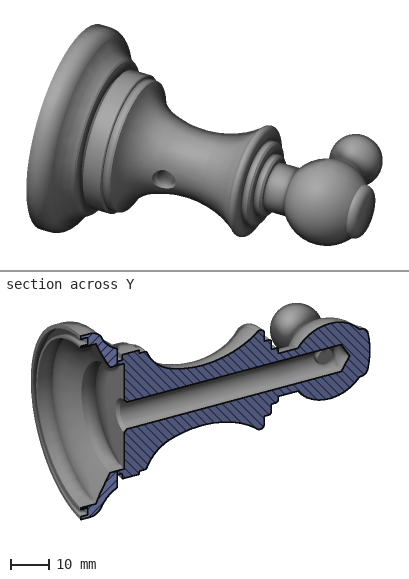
import cadquery as cq
import math

FLANGE_LENGTH = 10.95
FLANGE_DIAMETER = 55.9
FLANGE_RADIUS = FLANGE_DIAMETER / 2
FLANGE_RIM_LENGTH = 2.65
FLANGE_SHOULDER_X = 6.1
FLANGE_SHOULDER_RADIUS = 26.0
FLANGE_SHOULDER_SAG = 0.5
FLANGE_NECK_X = 10.5
FLANGE_NECK_RADIUS = 21.3
FLANGE_COVE_SAG = 0.6
FLANGE_EDGE_CHAMFER = FLANGE_LENGTH - FLANGE_NECK_X
CAVITY_RADIUS = 24.2
CAVITY_DEPTH = 4.45
CAVITY_TAPER_END = 8.65
CAVITY_TAPER_SAG = 0.2
BORE_RADIUS = 15.9
SEAL_GROOVE_INNER_RADIUS = 24.9
SEAL_GROOVE_OUTER_RADIUS = 26.9
SEAL_GROOVE_DEPTH = 2.0

POST_FLOOR_X = 12.8
SPIGOT_RADIUS = 17.3
COLLAR_START = 12.15
COLLAR_END = 17.4
COLLAR_RADIUS = 18.9
COLLAR_CHAMFER = 0.25
BAND_END = 19.5
BAND_RADIUS = 18.0
BAND_CHAMFER = 0.5
BAND_CHAMFER_DROP = 0.2
WAIST_START_X = 27.7
WAIST_START_RADIUS = 10.45
WAIST_END_X = 42.2
WAIST_END_RADIUS = 9.9
WAIST_X = 35.95
WAIST_RADIUS = 9.2
COVE_SAG = 1.4
FLARE_SAG = 0.6
BEAD_START = 52.0
BEAD_END = 54.35
BEAD_OUTER_RADIUS = 15.15
BEAD_ROUND = 1.3
LARGE_STEP_RADIUS = 11.5
LARGE_STEP_END = 56.4
SMALL_STEP_RADIUS = 8.4
SMALL_STEP_END = 58.5
STEP_CHAMFER = 0.5
NECK_RADIUS = 6.6
BALL_X = 73.6
BALL_RADIUS = 11.5
CAP_RADIUS = 7.3
CAP_ROUND = 2.3
CAP_DOME_RADIUS = 25.7
CAP_END = 85.6

KNOB_SEAT_Y = 10.2
KNOB_COLLAR_RADIUS = 5.8
KNOB_COLLAR_END = 10.95
KNOB_NECK_START_RADIUS = 5.6
KNOB_NECK_RADIUS = 4.45
KNOB_NECK_Y = 12.3
KNOB_BALL_Y = 18.4
KNOB_BALL_RADIUS = 7.0
KNOB_BALL_START = 13.0
KNOB_BALL_END = 22.6
KNOB_END = 23.9
STUD_RADIUS = 2.2
STUD_TIP_Y = 2.6
STUD_HOLE_RADIUS = 2.6

SCREW_HOLE_RADIUS = 4.0
SCREW_HOLE_MOUTH_RADIUS = 4.9
SCREW_HOLE_END = 77.0
DRILL_POINT_ANGLE = 118.0
GRUB_HOLE_X = 31.25
GRUB_HOLE_RADIUS = 2.6
GRUB_HOLE_MOUTH_RADIUS = 3.2


def arc_middle(start, end, sag):
    """Point on an arc between two points, bulging by sag to the left of the way from start to end."""
    along_x = end[0] - start[0]
    along_y = end[1] - start[1]
    chord = math.hypot(along_x, along_y)
    middle_x = (start[0] + end[0]) / 2 - sag * along_y / chord
    middle_y = (start[1] + end[1]) / 2 + sag * along_x / chord
    return (middle_x, middle_y)


def circle_offset(radius, distance):
    """Half chord of a circle at a distance from its centre."""
    return math.sqrt(radius**2 - distance**2)


def turn_about_x(profile):
    """Revolve a closed profile about the main axis of the part."""
    return profile.close().revolve(360, (0, 0, 0), (1, 0, 0))


def turn_about_knob_axis(profile):
    """Revolve a closed profile about its local Y axis, which is the axis of the knob."""
    return profile.close().revolve(360, (0, 0, 0), (0, 1, 0))


def make_flange():
    shoulder_middle = arc_middle(
        (FLANGE_RIM_LENGTH, FLANGE_RADIUS), (FLANGE_SHOULDER_X, FLANGE_SHOULDER_RADIUS), FLANGE_SHOULDER_SAG
    )
    cove_start = (FLANGE_SHOULDER_X, FLANGE_SHOULDER_RADIUS)
    cove_end = (FLANGE_NECK_X, FLANGE_NECK_RADIUS)
    taper_start = (CAVITY_TAPER_END, BORE_RADIUS)
    taper_end = (CAVITY_DEPTH, CAVITY_RADIUS)
    body = turn_about_x(
        cq.Workplane("XZ")
        .moveTo(0, CAVITY_RADIUS)
        .lineTo(0, FLANGE_RADIUS)
        .lineTo(FLANGE_RIM_LENGTH, FLANGE_RADIUS)
        .threePointArc(shoulder_middle, cove_start)
        .threePointArc(arc_middle(cove_start, cove_end, -FLANGE_COVE_SAG), cove_end)
        .lineTo(FLANGE_LENGTH, FLANGE_NECK_RADIUS - FLANGE_EDGE_CHAMFER)
        .lineTo(FLANGE_LENGTH, BORE_RADIUS)
        .lineTo(*taper_start)
        .threePointArc(arc_middle(taper_start, taper_end, CAVITY_TAPER_SAG), taper_end)
    )
    groove = (
        cq.Workplane("YZ")
        .circle(SEAL_GROOVE_OUTER_RADIUS)
        .circle(SEAL_GROOVE_INNER_RADIUS)
        .extrude(SEAL_GROOVE_DEPTH)
    )
    return body.cut(groove)


def turn_post():
    cove_start = (BAND_END, BAND_RADIUS - BAND_CHAMFER_DROP)
    cove_end = (WAIST_START_X, WAIST_START_RADIUS)
    flare_start = (WAIST_END_X, WAIST_END_RADIUS)
    bead_x = BEAD_END - BEAD_ROUND
    bead_centre_radius = BEAD_OUTER_RADIUS - BEAD_ROUND
    flare_end = (BEAD_START, bead_centre_radius + circle_offset(BEAD_ROUND, bead_x - BEAD_START))
    ball_start = (BALL_X - circle_offset(BALL_RADIUS, NECK_RADIUS), NECK_RADIUS)
    ball_end = (BALL_X + circle_offset(BALL_RADIUS, CAP_RADIUS), CAP_RADIUS)
    cap_dome_x = CAP_END - CAP_DOME_RADIUS
    cap_round_radius = CAP_RADIUS - CAP_ROUND
    cap_round_x = cap_dome_x + circle_offset(CAP_DOME_RADIUS - CAP_ROUND, cap_round_radius)
    dome_scale = CAP_DOME_RADIUS / (CAP_DOME_RADIUS - CAP_ROUND)
    dome_edge = (cap_dome_x + dome_scale * (cap_round_x - cap_dome_x), dome_scale * cap_round_radius)
    return turn_about_x(
        cq.Workplane("XZ")
        .moveTo(POST_FLOOR_X, 0)
        .lineTo(POST_FLOOR_X, BORE_RADIUS)
        .lineTo(FLANGE_LENGTH, BORE_RADIUS)
        .lineTo(FLANGE_LENGTH, SPIGOT_RADIUS)
        .lineTo(COLLAR_START, SPIGOT_RADIUS)
        .lineTo(COLLAR_START, COLLAR_RADIUS)
        .lineTo(COLLAR_END - COLLAR_CHAMFER, COLLAR_RADIUS)
        .lineTo(COLLAR_END, COLLAR_RADIUS - COLLAR_CHAMFER)
        .lineTo(COLLAR_END, BAND_RADIUS)
        .lineTo(BAND_END - BAND_CHAMFER, BAND_RADIUS)
        .lineTo(*cove_start)
        .threePointArc(arc_middle(cove_start, cove_end, -COVE_SAG), cove_end)
        .threePointArc((WAIST_X, WAIST_RADIUS), flare_start)
        .threePointArc(arc_middle(flare_start, flare_end, -FLARE_SAG), flare_end)
        .threePointArc((bead_x, BEAD_OUTER_RADIUS), (BEAD_END, bead_centre_radius))
        .lineTo(BEAD_END, LARGE_STEP_RADIUS)
        .lineTo(LARGE_STEP_END - STEP_CHAMFER, LARGE_STEP_RADIUS)
        .lineTo(LARGE_STEP_END, LARGE_STEP_RADIUS - STEP_CHAMFER)
        .lineTo(LARGE_STEP_END, SMALL_STEP_RADIUS)
        .lineTo(SMALL_STEP_END - STEP_CHAMFER, SMALL_STEP_RADIUS)
        .lineTo(SMALL_STEP_END, SMALL_STEP_RADIUS - STEP_CHAMFER)
        .lineTo(SMALL_STEP_END, NECK_RADIUS)
        .lineTo(*ball_start)
        .threePointArc((BALL_X, BALL_RADIUS), ball_end)
        .lineTo(cap_round_x, CAP_RADIUS)
        .tangentArcPoint(dome_edge, relative=False)
        .tangentArcPoint((CAP_END, 0), relative=False)
    )


def make_screw_hole():
    """Blind drilled hole along X with a countersunk mouth at the floor of the post."""
    mouth_depth = SCREW_HOLE_MOUTH_RADIUS - SCREW_HOLE_RADIUS
    point_length = SCREW_HOLE_RADIUS / math.tan(math.radians(DRILL_POINT_ANGLE / 2))
    return turn_about_x(
        cq.Workplane("XY")
        .moveTo(POST_FLOOR_X, 0)
        .lineTo(POST_FLOOR_X, SCREW_HOLE_MOUTH_RADIUS)
        .lineTo(POST_FLOOR_X + mouth_depth, SCREW_HOLE_RADIUS)
        .lineTo(SCREW_HOLE_END, SCREW_HOLE_RADIUS)
        .lineTo(SCREW_HOLE_END + point_length, 0)
    )


def make_grub_hole():
    """Hole from the -Y side of the waist into the screw hole, with a countersunk mouth."""
    mouth_depth = GRUB_HOLE_MOUTH_RADIUS - GRUB_HOLE_RADIUS
    mouth_y = -WAIST_RADIUS
    return (
        cq.Workplane("XY")
        .moveTo(GRUB_HOLE_X, 0)
        .lineTo(GRUB_HOLE_X + GRUB_HOLE_RADIUS, 0)
        .lineTo(GRUB_HOLE_X + GRUB_HOLE_RADIUS, mouth_y + mouth_depth)
        .lineTo(GRUB_HOLE_X + GRUB_HOLE_MOUTH_RADIUS, mouth_y)
        .lineTo(GRUB_HOLE_X + GRUB_HOLE_MOUTH_RADIUS, -FLANGE_RADIUS)
        .lineTo(GRUB_HOLE_X, -FLANGE_RADIUS)
        .close()
        .revolve(360, (GRUB_HOLE_X, 0, 0), (GRUB_HOLE_X, 1, 0))
    )


def knob_axis_cylinder(radius, start_y, end_y):
    """Cylinder on the knob axis between two distances from the centre of the ball."""
    return turn_about_knob_axis(
        cq.Workplane("XY", origin=(BALL_X, 0, 0))
        .moveTo(0, start_y)
        .lineTo(radius, start_y)
        .lineTo(radius, end_y)
        .lineTo(0, end_y)
    )


def make_post():
    knob_seat = knob_axis_cylinder(KNOB_COLLAR_RADIUS, 0, KNOB_SEAT_Y)
    ball_crown = knob_axis_cylinder(KNOB_COLLAR_RADIUS, KNOB_SEAT_Y, KNOB_END)
    stud_hole = knob_axis_cylinder(STUD_HOLE_RADIUS, STUD_TIP_Y, KNOB_SEAT_Y)
    body = turn_post().union(knob_seat).cut(ball_crown)
    return body.cut(make_screw_hole()).cut(make_grub_hole()).cut(stud_hole)


def make_knob():
    ball_start = (circle_offset(KNOB_BALL_RADIUS, KNOB_BALL_Y - KNOB_BALL_START), KNOB_BALL_START)
    ball_end = (circle_offset(KNOB_BALL_RADIUS, KNOB_BALL_END - KNOB_BALL_Y), KNOB_BALL_END)
    dome_rise = KNOB_END - KNOB_BALL_END
    dome_radius = (ball_end[0] ** 2 + dome_rise**2) / (2 * dome_rise)
    dome_middle_radius = ball_end[0] / 2
    dome_middle_y = KNOB_END - dome_radius + circle_offset(dome_radius, dome_middle_radius)
    head = turn_about_knob_axis(
        cq.Workplane("XY", origin=(BALL_X, 0, 0))
        .moveTo(0, KNOB_SEAT_Y)
        .lineTo(KNOB_COLLAR_RADIUS, KNOB_SEAT_Y)
        .lineTo(KNOB_COLLAR_RADIUS, KNOB_COLLAR_END)
        .lineTo(KNOB_NECK_START_RADIUS, KNOB_COLLAR_END)
        .threePointArc((KNOB_NECK_RADIUS, KNOB_NECK_Y), ball_start)
        .threePointArc((KNOB_BALL_RADIUS, KNOB_BALL_Y), ball_end)
        .threePointArc((dome_middle_radius, dome_middle_y), (0, KNOB_END))
    )
    return head.union(knob_axis_cylinder(STUD_RADIUS, STUD_TIP_Y, KNOB_SEAT_Y))


flange = make_flange().solids()
post = make_post().solids()
knob = make_knob().solids()

result = cq.Compound.makeCompound([flange.val(), post.val(), knob.val()])